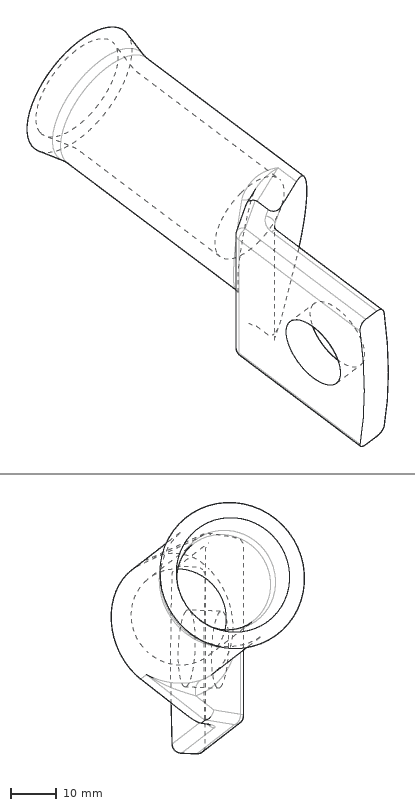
import cadquery as cq
import math

length = 107.8
palm_width = 42.0
palm_thickness = 7.5
palm_face_y = -18.0
palm_back_y = palm_face_y + palm_thickness
half_width = palm_width / 2

barrel_radius = 14.6
bore_radius = 10.8
bore_depth = 53.9
mouth_outer_radius = 16.4
mouth_inner_radius = 12.8
mouth_rim_x = 0.8
flare_end_x = 8.3
flare_blend_radius = 9.7

neck_angle = math.radians(60)
neck_back_x = 71.7
shoulder_y = -8.4
face_bend_radius = 2.2
back_bend_radius = 2.8
edge_radius = 2.0
neck_blend_radius = 3.2

hole_x = 91.9
hole_diameter = 17.0
end_bow = 1.6

face_corner_x = neck_back_x - palm_thickness * math.tan(neck_angle / 2)
neck_run = palm_thickness / math.sin(neck_angle)

reach = math.hypot(half_width, shoulder_y)
tangent_angle = math.atan2(half_width, shoulder_y) - math.acos(barrel_radius / reach)
tangent_y = barrel_radius * math.cos(tangent_angle)
tangent_z = barrel_radius * math.sin(tangent_angle)

tolerance = 0.01


def neck_x(y):
    """X of the sloping back face at height y."""
    return neck_back_x - (y - palm_back_y) / math.tan(neck_angle)


def make_strip():
    """Bent strip of constant thickness, cut to the tapering width of the neck."""
    top_y = barrel_radius
    face_top_x = face_corner_x - (top_y - palm_face_y) / math.tan(neck_angle)
    strip = (
        cq.Workplane("XY")
        .moveTo(face_corner_x, palm_face_y)
        .lineTo(length, palm_face_y)
        .lineTo(length, palm_back_y)
        .lineTo(neck_back_x, palm_back_y)
        .lineTo(neck_x(top_y), top_y)
        .lineTo(face_top_x, top_y)
        .close()
        .extrude(half_width, both=True)
    )
    width_profile = (
        cq.Workplane("YZ")
        .moveTo(palm_face_y, -half_width)
        .lineTo(shoulder_y, -half_width)
        .lineTo(tangent_y, -tangent_z)
        .lineTo(tangent_y, tangent_z)
        .lineTo(shoulder_y, half_width)
        .lineTo(palm_face_y, half_width)
        .close()
        .extrude(length)
    )
    return strip.intersect(width_profile)


def keep_edges(part, condition):
    """Select the edges of the part that meet a condition."""
    return part.newObject([edge for edge in part.edges().vals() if condition(edge)])


def is_on_side(center):
    """True on the two flat sides of the palm, away from its end."""
    return abs(abs(center.z) - half_width) < tolerance and center.x < length - tolerance


def is_face_rim(edge):
    """True for the edges along the sides and tapers of the face."""
    center = edge.Center()
    on_slope = center.x < neck_x(center.y) - neck_run / 2
    crosses_thickness = abs(center.y - shoulder_y) < tolerance
    on_palm_face = center.y < palm_face_y + face_bend_radius / 2
    on_side_rim = is_on_side(center) and (on_slope or on_palm_face) and not crosses_thickness
    on_taper = shoulder_y + tolerance < center.y < tangent_y - tolerance and on_slope
    return on_side_rim or on_taper


def is_back_rim(edge):
    """True for the side edges of the palm back and of its bend."""
    center = edge.Center()
    near_back = abs(center.y - palm_back_y) < back_bend_radius / 4
    return is_on_side(center) and near_back


def is_neck_joint(edge):
    """True for the curves where the barrel enters the sloping face of the neck."""
    if edge.geomType() not in ("ELLIPSE", "BSPLINE"):
        return False
    center = edge.Center()
    on_slope = center.x < neck_x(center.y) - neck_run / 4
    ends = (edge.startPoint(), edge.endPoint())
    on_barrel = all(abs(math.hypot(end.y, end.z) - barrel_radius) < tolerance for end in ends)
    return on_barrel and on_slope and center.x > 2 * flare_end_x


def round_strip(strip):
    """Round the two bends, then the long edges of the palm and neck."""
    box = cq.selectors.BoxSelector
    face_bend = box(
        (face_corner_x - tolerance, palm_face_y - tolerance, -tolerance),
        (face_corner_x + tolerance, palm_face_y + tolerance, tolerance),
    )
    back_bend = box(
        (neck_back_x - tolerance, palm_back_y - tolerance, -tolerance),
        (neck_back_x + tolerance, palm_back_y + tolerance, tolerance),
    )
    strip = strip.edges(face_bend).fillet(face_bend_radius)
    strip = strip.edges(back_bend).fillet(back_bend_radius)
    strip = keep_edges(strip, is_face_rim).fillet(edge_radius)
    return keep_edges(strip, is_back_rim).fillet(edge_radius)


def flared_solid(rim_points, tube_radius, blend_radius, end_x):
    """Solid of revolution: a rim, a conical flare, a blending arc and a straight tube."""
    rim_x, rim_radius = rim_points[-1]
    flare_slope = math.atan2(rim_radius - tube_radius, flare_end_x - rim_x)
    blend_reach = blend_radius * math.tan(flare_slope / 2)
    blend_start = (
        flare_end_x - blend_reach * math.cos(flare_slope),
        tube_radius + blend_reach * math.sin(flare_slope),
    )
    return (
        cq.Workplane("XY")
        .polyline([(0, 0)] + rim_points)
        .lineTo(*blend_start)
        .tangentArcPoint((flare_end_x + blend_reach, tube_radius), relative=False)
        .lineTo(end_x, tube_radius)
        .lineTo(end_x, 0)
        .close()
        .revolve(360, (0, 0, 0), (1, 0, 0))
    )


def make_barrel():
    """Solid barrel with a flared mouth, cut off along the sloping back face."""
    rim_points = [(0, mouth_inner_radius), (mouth_rim_x, mouth_outer_radius)]
    barrel = flared_solid(rim_points, barrel_radius, flare_blend_radius, length)
    low_y = -mouth_outer_radius
    high_y = mouth_outer_radius
    keep = (
        cq.Workplane("XY")
        .moveTo(0, low_y)
        .lineTo(neck_x(low_y), low_y)
        .lineTo(neck_x(high_y), high_y)
        .lineTo(0, high_y)
        .close()
        .extrude(mouth_outer_radius, both=True)
    )
    return barrel.intersect(keep)


def make_bore():
    """Blind bore whose mouth flares parallel to the outside of the barrel."""
    wall = barrel_radius - bore_radius
    return flared_solid([(0, mouth_inner_radius)], bore_radius, flare_blend_radius + wall, bore_depth)


def make_end_trim():
    """Block with a bowed end that trims the palm."""
    side_x = length - end_bow
    return (
        cq.Workplane("XZ")
        .moveTo(0, -half_width)
        .lineTo(side_x, -half_width)
        .threePointArc((length, 0), (side_x, half_width))
        .lineTo(0, half_width)
        .close()
        .extrude(length, both=True)
    )


def make_palm_hole():
    """Through hole in the palm."""
    return (
        cq.Workplane("XZ", origin=(hole_x, palm_back_y, 0))
        .circle(hole_diameter / 2)
        .extrude(palm_thickness)
    )


body = round_strip(make_strip()).union(make_barrel())
body = keep_edges(body, is_neck_joint).fillet(neck_blend_radius)
result = body.intersect(make_end_trim()).cut(make_bore()).cut(make_palm_hole())